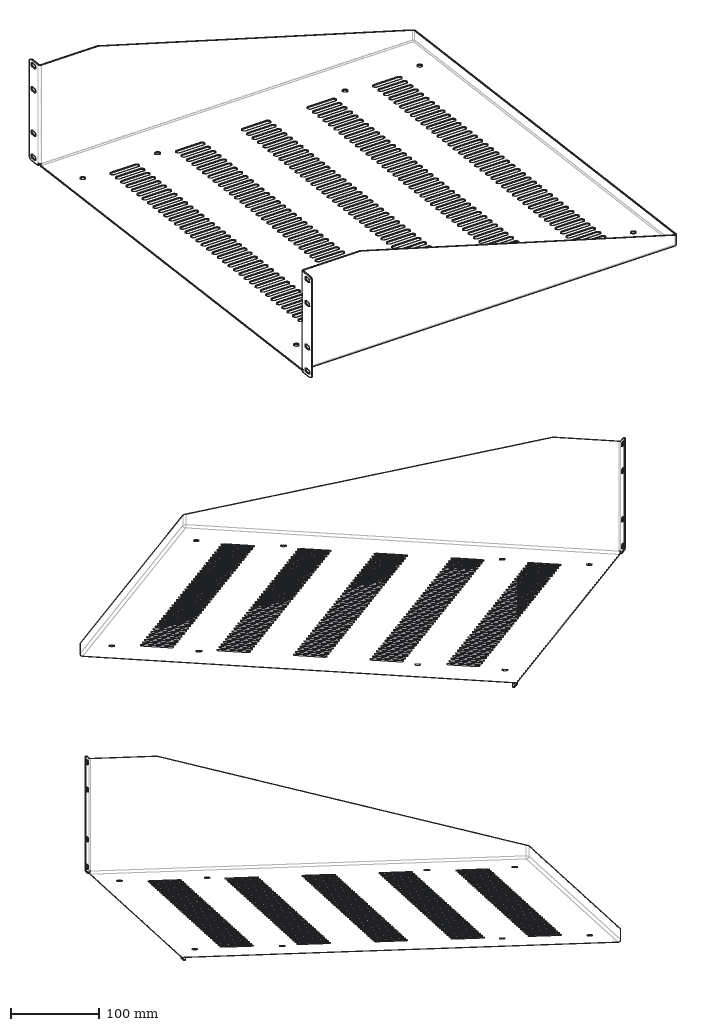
import cadquery as cq

overall_width = 584.5
overall_depth = 508.0
overall_height = 132.5

sheet = 1.5
inner_bend = 1.45
outer_bend = inner_bend + sheet

tray_width = 544.5
lip_height = 15.0
level_top_depth = 79.5

ear_corner_radius = 4.5
ear_slot_length = 10.0
ear_slot_height = 5.0
ear_slot_x = 283.5
ear_slot_offsets = (28.5, 60.0)

vent_columns = 39
vent_rows = 5
vent_column_pitch = 11.0
vent_row_pitch = 89.0
vent_length = 38.5
vent_width = 6.5

hole_diameter = 6.5
hole_x = 221.0
hole_y_offsets = (127.0, 228.0)

front_y = -overall_depth / 2
back_y = overall_depth / 2
floor_front_y = front_y + sheet
bend_back_y = front_y + outer_bend
tray_half_width = tray_width / 2


def mirrored(offsets):
    """Return every offset on both sides of zero."""
    return [sign * offset for offset in offsets for sign in (-1, 1)]


def make_block(width, bottom_z, rear_y, bend):
    """Block from the front edge to rear_y, rounded along its bottom side and rear edges."""
    depth = rear_y - floor_front_y
    return (
        cq.Workplane("XY", origin=(0, floor_front_y + depth / 2, bottom_z))
        .box(width, depth, overall_height - bottom_z, centered=(True, True, False))
        .edges("|Z and >Y")
        .fillet(bend)
        .faces("<Z")
        .edges("not <Y")
        .fillet(bend)
    )


def make_tray():
    """Bent floor, walls and lip, with the wall tops sloping down to the lip.

    Above the floor bend the walls stop at bend_back_y, where the ear bends take over.
    """
    outside = make_block(tray_width, 0, back_y, outer_bend)
    inside = make_block(tray_width - 2 * sheet, sheet, back_y - sheet, inner_bend)
    side_outline = (
        cq.Workplane("YZ", origin=(-tray_half_width, 0, 0))
        .moveTo(floor_front_y, 0)
        .lineTo(back_y, 0)
        .lineTo(back_y, lip_height)
        .lineTo(back_y - sheet, lip_height)
        .lineTo(front_y + level_top_depth, overall_height)
        .lineTo(bend_back_y, overall_height)
        .lineTo(bend_back_y, outer_bend)
        .lineTo(floor_front_y, outer_bend)
        .close()
        .extrude(tray_width)
    )
    return outside.cut(inside).intersect(side_outline)


def make_right_ear():
    """Flange with a rounded bend into the wall, rounded outer corners and four slots."""
    wall_inside_x = tray_half_width - sheet
    flange_inner_x = wall_inside_x + outer_bend
    flange_width = overall_width / 2 - flange_inner_x
    flange = (
        cq.Workplane("XY", origin=(flange_inner_x, front_y, 0))
        .box(flange_width, sheet, overall_height, centered=False)
        .edges("|Y and >X")
        .fillet(ear_corner_radius)
    )
    bend = (
        cq.Workplane("XY", origin=(0, 0, outer_bend))
        .moveTo(flange_inner_x, front_y)
        .radiusArc((wall_inside_x, bend_back_y), outer_bend)
        .lineTo(tray_half_width, bend_back_y)
        .radiusArc((flange_inner_x, front_y + sheet), -inner_bend)
        .close()
        .extrude(overall_height - outer_bend)
    )
    slots = (
        cq.Workplane("XZ", origin=(ear_slot_x, front_y + sheet, overall_height / 2))
        .pushPoints([(0, z) for z in mirrored(ear_slot_offsets)])
        .slot2D(ear_slot_length, ear_slot_height)
        .extrude(sheet)
    )
    return flange.cut(slots).union(bend)


def make_vents():
    """Round-ended vent slots through the floor, in a centred grid."""
    return (
        cq.Workplane("XY")
        .rarray(vent_column_pitch, vent_row_pitch, vent_columns, vent_rows)
        .slot2D(vent_length, vent_width, 90)
        .extrude(sheet)
    )


def make_holes():
    """Mounting holes through the floor, four along each side."""
    return (
        cq.Workplane("XY")
        .pushPoints([(x, y) for x in mirrored([hole_x]) for y in mirrored(hole_y_offsets)])
        .circle(hole_diameter / 2)
        .extrude(sheet)
    )


tray = make_tray().cut(make_vents()).cut(make_holes())
right_ear = make_right_ear()
left_ear = right_ear.mirror("YZ")
result = tray.union(right_ear).union(left_ear)